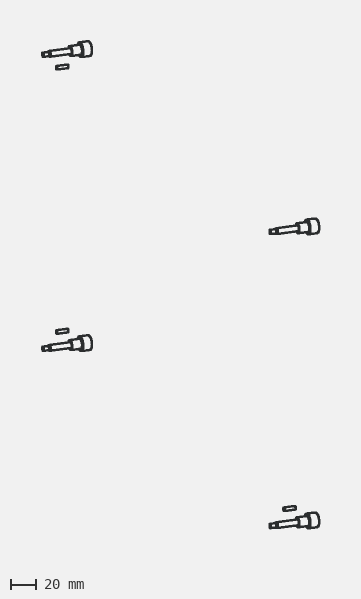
import cadquery as cq

overall_width = 472.0
overall_height = 254.0

screw_length = 39.0
head_diameter = 12.0
head_length = 8.0
head_chamfer = 0.5
shoulder_diameter = 8.0
shoulder_length = 8.0
shank_diameter = 4.5
taper_length = 1.5
tip_diameter = 3.55
tip_length = 4.2

pin_diameter = 3.0
pin_length = 10.0
pin_chamfer = 0.5
pin_front = 11.5
pin_offset = 12.5

screw_x = (overall_width - head_diameter) / 2
screw_z = (overall_height - head_diameter) / 2
pin_z = screw_z - pin_offset
screw_places = [(x, z) for x in (-screw_x, screw_x) for z in (-screw_z, screw_z)]
pin_places = [(-screw_x, -pin_z), (screw_x, -pin_z), (-screw_x, pin_z)]

head_front = screw_length - head_length
shoulder_front = head_front - shoulder_length
shank_front = tip_length + taper_length


def cylinder(start, length, diameter):
    """Round bar on the Y axis, running from the given Y toward +Y."""
    plane = cq.Plane(origin=(0, start, 0), xDir=(1, 0, 0), normal=(0, 1, 0))
    return cq.Workplane(plane).circle(diameter / 2).extrude(length)


def make_shank():
    """Shank that tapers down to a thinner tip, as one turned outline."""
    shank_radius = shank_diameter / 2
    tip_radius = tip_diameter / 2
    outline = [
        (0, 0),
        (tip_radius, 0),
        (tip_radius, tip_length),
        (shank_radius, shank_front),
        (shank_radius, shoulder_front),
        (0, shoulder_front),
    ]
    return cq.Workplane("XY").polyline(outline).close().revolve(360, (0, 0), (0, 1))


def make_screw(x, z):
    """Screw with a chamfered round head, a shoulder and a tapered shank."""
    head = cylinder(head_front, head_length, head_diameter)
    head = head.faces("<Y or >Y").chamfer(head_chamfer)
    shoulder = cylinder(shoulder_front, shoulder_length, shoulder_diameter)
    screw = head.union(shoulder).union(make_shank())
    return screw.translate((x, 0, z))


def make_pin(x, z):
    """Dowel pin with both ends chamfered."""
    pin = cylinder(pin_front, pin_length, pin_diameter)
    pin = pin.faces("<Y or >Y").chamfer(pin_chamfer)
    return pin.translate((x, 0, z))


screws = [make_screw(x, z) for x, z in screw_places]
pins = [make_pin(x, z) for x, z in pin_places]

result = cq.Compound.makeCompound([body.solids().val() for body in screws + pins])